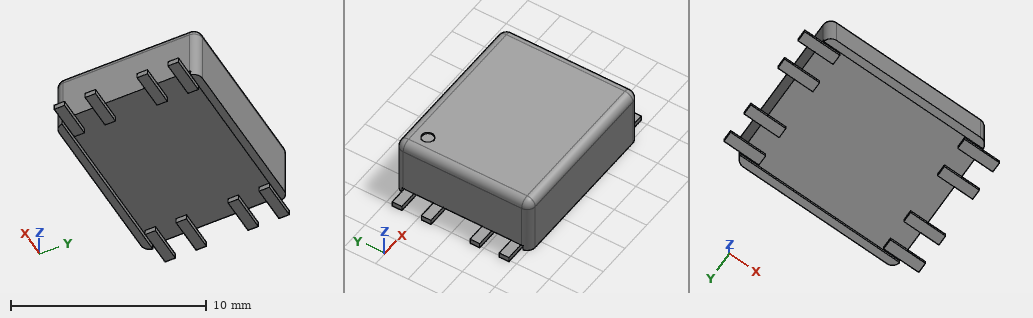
import cadquery as cq

overall_length = 12.2
housing_length = 10.0
housing_width = 8.3
housing_height = 3.5
edge_radius = 0.5

channel_width = 7.44

lead_thickness = 0.3
lead_width = 0.6
lead_inset = 1.1
lead_length = (overall_length - housing_length) / 2 + lead_inset
inner_lead_y = 1.5
outer_lead_y = 3.3

mark_diameter = 0.71
mark_depth = 0.1
mark_x = -3.84
mark_y = 2.9


def make_housing():
    """Rounded block with a channel along X underneath and a shallow round mark on top."""
    block = (
        cq.Workplane("XY")
        .box(housing_length, housing_width, housing_height, centered=(True, True, False))
        .edges("|Z or >Z")
        .fillet(edge_radius)
    )
    channel = cq.Workplane("XY").box(
        housing_length, channel_width, lead_thickness, centered=(True, True, False)
    )
    mark = (
        cq.Workplane("XY", origin=(mark_x, mark_y, housing_height - mark_depth))
        .circle(mark_diameter / 2)
        .extrude(mark_depth)
    )
    return block.cut(channel).cut(mark)


def make_lead(side, y):
    """Flat lead at the -X end (side = -1) or the +X end (side = 1)."""
    center_x = side * (overall_length - lead_length) / 2
    return (
        cq.Workplane("XY")
        .box(lead_length, lead_width, lead_thickness, centered=(True, True, False))
        .translate((center_x, y, 0))
    )


housing = make_housing()

lead_rows = [-outer_lead_y, -inner_lead_y, inner_lead_y, outer_lead_y]
leads = [make_lead(side, y) for side in (-1, 1) for y in lead_rows]

result = cq.Compound.makeCompound([housing.solids().val(), *[lead.val() for lead in leads]])